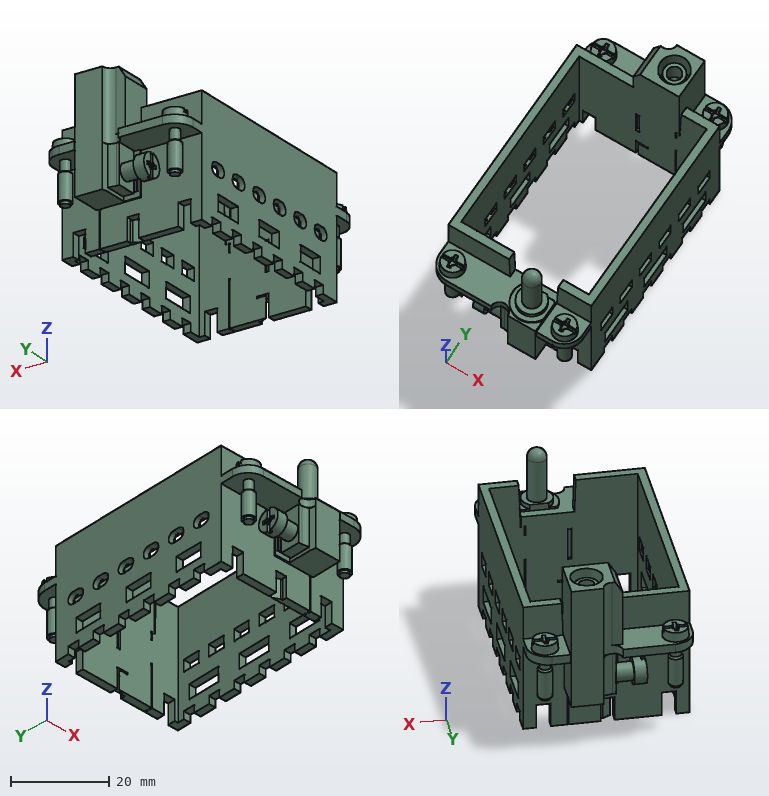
import cadquery as cq

WIDTH = 34.4
LENGTH = 64.0
HEIGHT = 36.4
FRAME_LENGTH = 48.5
FRAME_HEIGHT = 29.0
SIDE_WALL = 1.85
END_WALL = 2.0

FLANGE_TOP = 21.45
FLANGE_THICKNESS = 2.0
FLANGE_CORNER_RADIUS = 4.5
NOTCH_RADIUS = 2.0

BLOCK_LEFT = -2.3
BLOCK_RIGHT = 8.7
BLOCK_BOTTOM = 8.9
BLOCK_FACE_X = 2.0
BLOCK_FACE_DRAFT = 0.25
CAGE_LEFT = -0.9
CAGE_FLAT = 0.8
CAGE_BOTTOM = 9.85
CAGE_BACK = 24.95
CAGE_FRONT = 30.0
BLOCK_FOOT_Y = 30.4
PAD_THICKNESS = 0.4
CLAMP_POCKET_LEFT = -1.7
CLAMP_POCKET_BOTTOM = 10.3
OUTER_POCKET_TOP = 18.05
INNER_POCKET_TOP = 17.4
GROOVE_DEPTH = 0.65

OPENING_RIGHT = 8.95
OPENING_FLARE = 0.25
SLIT_WIDTH = 0.2
SLIT_BOTTOM = 19.1
SEAM_LEFT = 7.8
SEAM_WIDTH = 0.25
INNER_SEAM_TOP = 11.15
UPPER_SEAM_BOTTOM = 17.0

HOLE_COUNT = 6
HOLE_PITCH = 7.35
HOLE_LENGTH = 4.35
HOLE_HEIGHT = 3.0
HOLE_Z = 13.4
OBLONG_DEPTH = 1.4
WINDOW_COUNT = 3
WINDOW_PITCH = 2 * HOLE_PITCH
LEFT_WINDOW_LENGTH = 7.1
RIGHT_WINDOW_LENGTH = 8.6
WINDOW_BOTTOM = 4.15
WINDOW_TOP = 7.95
NOTCH_ROW_Y = 0.65
BASE_NOTCH_LENGTH = 3.0
BASE_NOTCH_HEIGHT = 2.0

END_SLOT_HEIGHT = 5.4
FRONT_SLOT_NEAR = 10.95
FRONT_SLOT_FAR = 13.95
REAR_SLOT_NEAR = 11.45
REAR_SLOT_FAR = 14.45
MIDDLE_SLOT_LEFT = -1.7
MIDDLE_SLOT_RIGHT = 1.15
WEDGE_LEFT = -1.15
WEDGE_CREST = 0.6
WEDGE_HEIGHT = 5.0
WEDGE_DEPTH = 0.9

PIN_X = 4.6
PIN_Y = 26.95
PIN_RADIUS = 2.05
PIN_TOP = 34.5
DISC_RADIUS = 4.55
DISC_HEIGHT = 0.45
COLLAR_RADIUS = 3.3
COLLAR_HEIGHT = 1.0
TOWER_CHAMFER_WIDTH = 1.6
TOWER_CHAMFER_HEIGHT = 2.55
SOCKET_RADIUS = 3.3
SOCKET_DEPTH = 6.4
TUBE_OUTER_RADIUS = 2.4
TUBE_INNER_RADIUS = 1.6
TUBE_RECESS = 1.65
TUBE_CONE_HEIGHT = 0.95

SCREW_X = 13.5
SCREW_Y = 28.5
HEAD_BASE_RADIUS = 2.75
HEAD_TOP_RADIUS = 2.55
HEAD_HEIGHT = 2.05
NECK_RADIUS = 1.15
NECK_BOTTOM = 16.9
THREAD_RADIUS = 1.55
THREAD_TOP = 16.5
THREAD_BOTTOM = 10.2
TIP_RADIUS = 1.1
TIP_BOTTOM = 9.55
RECESS_DEPTH = 0.8
SLOT_WIDTH = 0.8
CROSS_WIDTH = 0.7
CROSS_LENGTH = 3.2
CROSS_DEPTH = 1.3
CROSS_FLOOR = 1.3

CLAMP_SCREW_Y = 27.8
CLAMP_SCREW_Z = 13.5
CLAMP_SHANK_RADIUS = 2.0
CLAMP_HEAD_RADIUS = 2.8
CLAMP_HEAD_LEFT = -7.3
CLAMP_HEAD_RIGHT = -4.7

HALF_WIDTH = WIDTH / 2
HALF_LENGTH = LENGTH / 2
WALL_OUTER_Y = FRAME_LENGTH / 2
WALL_INNER_Y = WALL_OUTER_Y - END_WALL
WALL_MIDDLE_Y = WALL_OUTER_Y - END_WALL / 2
PAD_Y = WALL_OUTER_Y + PAD_THICKNESS
FLANGE_BOTTOM = FLANGE_TOP - FLANGE_THICKNESS
SLIT_RIGHT = BLOCK_RIGHT + SLIT_WIDTH
DISC_TOP = FLANGE_TOP + DISC_HEIGHT
COLLAR_TOP = DISC_TOP + COLLAR_HEIGHT


def block(x0, x1, y0, y1, z0, z1):
    """Axis-aligned box given by its limits."""
    return cq.Workplane("XY").box(x1 - x0, y1 - y0, z1 - z0, centered=False).translate((x0, y0, z0))


def cylinder(x, y, z0, z1, radius):
    return cq.Workplane("XY").circle(radius).extrude(z1 - z0).translate((x, y, z0))


def prism(points, z0, z1):
    """Upright prism over a closed XY outline."""
    return cq.Workplane("XY").polyline(points).close().extrude(z1 - z0).translate((0, 0, z0))


def flip_y(body):
    return body.mirror("XZ")


def centred_row(count, pitch, middle=0.0):
    return [middle + (i - (count - 1) / 2) * pitch for i in range(count)]


def frame():
    outer = block(-HALF_WIDTH, HALF_WIDTH, -WALL_OUTER_Y, WALL_OUTER_Y, 0, FRAME_HEIGHT)
    inner_x = HALF_WIDTH - SIDE_WALL
    return outer.cut(block(-inner_x, inner_x, -WALL_INNER_Y, WALL_INNER_Y, 0, FRAME_HEIGHT))


def side_wall_cuts():
    """Hole row, window row and base notches of both side walls."""
    spots = [(y, HOLE_Z) for y in centred_row(HOLE_COUNT, HOLE_PITCH)]
    left_face = cq.Workplane("YZ", origin=(-HALF_WIDTH, 0, 0)).pushPoints(spots)
    left_pocket = cq.Workplane("YZ", origin=(-HALF_WIDTH + OBLONG_DEPTH, 0, 0)).pushPoints(spots)
    right_face = cq.Workplane("YZ", origin=(HALF_WIDTH, 0, 0)).pushPoints(spots)
    cuts = left_face.slot2D(HOLE_LENGTH, HOLE_HEIGHT).extrude(OBLONG_DEPTH)
    cuts = cuts.union(left_pocket.rect(HOLE_LENGTH, HOLE_HEIGHT).extrude(SIDE_WALL - OBLONG_DEPTH))
    cuts = cuts.union(right_face.rect(HOLE_LENGTH, HOLE_HEIGHT).extrude(-SIDE_WALL))
    for y in centred_row(WINDOW_COUNT, WINDOW_PITCH):
        for x0, length in ((-HALF_WIDTH, LEFT_WINDOW_LENGTH), (0, RIGHT_WINDOW_LENGTH)):
            half = length / 2
            window = block(x0, x0 + HALF_WIDTH, y - half, y + half, WINDOW_BOTTOM, WINDOW_TOP)
            cuts = cuts.union(window)
    for y in centred_row(HOLE_COUNT, HOLE_PITCH, NOTCH_ROW_Y):
        half = BASE_NOTCH_LENGTH / 2
        cuts = cuts.union(block(-HALF_WIDTH, HALF_WIDTH, y - half, y + half, 0, BASE_NOTCH_HEIGHT))
    return cuts


def end_slots(near, far):
    """Base slots through the rear (+Y) end wall: one at each side and one in the middle."""
    limits = [(-far, -near), (near, far), (MIDDLE_SLOT_LEFT, MIDDLE_SLOT_RIGHT)]
    slots = cq.Workplane("XY")
    for x0, x1 in limits:
        slots = slots.union(block(x0, x1, WALL_INNER_Y, WALL_OUTER_Y, 0, END_SLOT_HEIGHT))
    wedge = prism(
        [
            (WEDGE_LEFT, WALL_INNER_Y),
            (WEDGE_CREST, WALL_INNER_Y + WEDGE_DEPTH),
            (MIDDLE_SLOT_RIGHT, WALL_INNER_Y + WEDGE_DEPTH),
            (MIDDLE_SLOT_RIGHT, WALL_INNER_Y),
        ],
        0,
        WEDGE_HEIGHT,
    )
    return slots.cut(wedge)


def wall_opening(left_flare):
    """Opening of the rear end wall above the flange, flaring slightly towards the top."""
    outline = [
        (BLOCK_LEFT, FLANGE_TOP),
        (OPENING_RIGHT, FLANGE_TOP),
        (OPENING_RIGHT + OPENING_FLARE, FRAME_HEIGHT),
        (BLOCK_LEFT - left_flare, FRAME_HEIGHT),
    ]
    face = cq.Workplane("XZ", origin=(0, WALL_OUTER_Y, 0))
    return face.polyline(outline).close().extrude(END_WALL)


def flange():
    """Rear flange with rounded outer corners."""
    plate = block(-HALF_WIDTH, HALF_WIDTH, WALL_MIDDLE_Y, HALF_LENGTH, FLANGE_BOTTOM, FLANGE_TOP)
    return plate.edges("|Z and >Y").fillet(FLANGE_CORNER_RADIUS)


def contact_block():
    """Rear contact block: solid body, clamp cage beside it and a thin pad on the wall."""
    foot_x = BLOCK_FACE_X - BLOCK_FACE_DRAFT
    body = prism(
        [
            (foot_x, WALL_MIDDLE_Y),
            (foot_x, BLOCK_FOOT_Y),
            (BLOCK_FACE_X, HALF_LENGTH),
            (BLOCK_RIGHT, HALF_LENGTH),
            (BLOCK_RIGHT, WALL_MIDDLE_Y),
        ],
        BLOCK_BOTTOM,
        FLANGE_BOTTOM,
    )
    cage = prism(
        [
            (CAGE_LEFT, CAGE_BACK),
            (CAGE_LEFT, CAGE_FRONT),
            (CAGE_LEFT + CAGE_FLAT, CAGE_FRONT),
            (foot_x, BLOCK_FOOT_Y),
            (foot_x, CAGE_BACK),
        ],
        CAGE_BOTTOM,
        FLANGE_BOTTOM,
    )
    pad = block(BLOCK_LEFT, foot_x, WALL_MIDDLE_Y, PAD_Y, BLOCK_BOTTOM, FLANGE_BOTTOM)
    return body.union(cage).union(pad)


def clamp_pockets():
    """Shallow pockets beside the clamp, on the outer and inner faces of the rear wall."""
    x0 = CLAMP_POCKET_LEFT
    inner_y = WALL_INNER_Y + GROOVE_DEPTH
    outer = block(x0, CAGE_LEFT, PAD_Y - GROOVE_DEPTH, PAD_Y, CLAMP_POCKET_BOTTOM, OUTER_POCKET_TOP)
    inner = block(x0, CAGE_LEFT, WALL_INNER_Y, inner_y, CLAMP_POCKET_BOTTOM, INNER_POCKET_TOP)
    return outer.union(inner)


def seams():
    """Slit beside the rear block and the narrow grooves continuing it down both wall faces."""
    slit = block(BLOCK_RIGHT, SLIT_RIGHT, WALL_INNER_Y, HALF_LENGTH, SLIT_BOTTOM, FLANGE_TOP)
    x1 = SEAM_LEFT + SEAM_WIDTH
    inner_y = WALL_INNER_Y + GROOVE_DEPTH
    outer = block(SEAM_LEFT, x1, WALL_OUTER_Y - GROOVE_DEPTH, WALL_OUTER_Y, 0, BLOCK_BOTTOM)
    inner = block(SEAM_LEFT, x1, WALL_INNER_Y, inner_y, 0, INNER_SEAM_TOP)
    upper = block(SEAM_LEFT, x1, WALL_INNER_Y, inner_y, UPPER_SEAM_BOTTOM, SLIT_BOTTOM)
    return slit.union(outer).union(inner).union(upper)


def tower():
    """Rear tower with a sloped shoulder on its -X side."""
    step_y = HALF_LENGTH - NOTCH_RADIUS
    body = block(BLOCK_LEFT, BLOCK_RIGHT, WALL_INNER_Y, step_y, FLANGE_BOTTOM, HEIGHT)
    body = body.union(block(0, BLOCK_RIGHT, WALL_INNER_Y, HALF_LENGTH, FLANGE_BOTTOM, HEIGHT))
    shoulder = [
        (BLOCK_LEFT, HEIGHT),
        (BLOCK_LEFT + TOWER_CHAMFER_WIDTH, HEIGHT),
        (BLOCK_LEFT, HEIGHT - TOWER_CHAMFER_HEIGHT),
    ]
    face = cq.Workplane("XZ", origin=(0, HALF_LENGTH, 0))
    return body.cut(face.polyline(shoulder).close().extrude(HALF_LENGTH - WALL_INNER_Y))


def socket_cut():
    """Tower hole that leaves a central contact tube with a conical bore bottom."""
    floor = HEIGHT - SOCKET_DEPTH
    hole = cylinder(PIN_X, PIN_Y, floor, HEIGHT, SOCKET_RADIUS)
    hole = hole.cut(cylinder(PIN_X, PIN_Y, floor, HEIGHT - TUBE_RECESS, TUBE_OUTER_RADIUS))
    bore = [
        (0, floor - TUBE_CONE_HEIGHT),
        (TUBE_INNER_RADIUS, floor),
        (TUBE_INNER_RADIUS, HEIGHT),
        (0, HEIGHT),
    ]
    bore = cq.Workplane("XZ").polyline(bore).close().revolve(360, (0, 0), (0, 1))
    return hole.union(bore.translate((PIN_X, PIN_Y, 0)))


def guide_pin():
    """Front guide pin with a round tip, on a collar and disc trimmed by the wall and block."""
    shoulder_z = PIN_TOP - PIN_RADIUS
    base = cylinder(PIN_X, -PIN_Y, FLANGE_BOTTOM, DISC_TOP, DISC_RADIUS)
    base = base.union(cylinder(PIN_X, -PIN_Y, DISC_TOP, COLLAR_TOP, COLLAR_RADIUS))
    seat = block(BLOCK_LEFT, BLOCK_RIGHT, -HALF_LENGTH, -WALL_OUTER_Y, FLANGE_TOP, COLLAR_TOP)
    pin = cylinder(PIN_X, -PIN_Y, FLANGE_TOP, shoulder_z, PIN_RADIUS)
    tip = cq.Workplane("XY").sphere(PIN_RADIUS).translate((PIN_X, -PIN_Y, shoulder_z))
    return base.intersect(seat).union(pin).union(tip)


def drive_recess():
    """Slot along X combined with a wedge-ended cross slot along Y, sunk below Z = 0."""
    half_slot = SLOT_WIDTH / 2
    half_length = CROSS_LENGTH / 2
    half_floor = CROSS_FLOOR / 2
    reach = CLAMP_HEAD_RADIUS
    slot = block(-reach, reach, -half_slot, half_slot, -RECESS_DEPTH, 0)
    cross = [
        (-half_length, 0),
        (half_length, 0),
        (half_floor, -CROSS_DEPTH),
        (-half_floor, -CROSS_DEPTH),
    ]
    cross = cq.Workplane("YZ").polyline(cross).close().extrude(CROSS_WIDTH / 2, both=True)
    centre = cq.Workplane("XY").rect(CROSS_FLOOR, CROSS_FLOOR).extrude(-CROSS_DEPTH)
    return slot.union(cross).union(centre)


def mounting_screw():
    """Captive flange screw, revolved about the Z axis."""
    head_top = FLANGE_TOP + HEAD_HEIGHT
    profile = [
        (0, head_top),
        (HEAD_TOP_RADIUS, head_top),
        (HEAD_BASE_RADIUS, FLANGE_TOP),
        (NECK_RADIUS, FLANGE_TOP),
        (NECK_RADIUS, NECK_BOTTOM),
        (THREAD_RADIUS, THREAD_TOP),
        (THREAD_RADIUS, THREAD_BOTTOM),
        (TIP_RADIUS, THREAD_BOTTOM),
        (TIP_RADIUS, TIP_BOTTOM),
        (0, TIP_BOTTOM),
    ]
    screw = cq.Workplane("XZ").polyline(profile).close().revolve(360, (0, 0), (0, 1))
    return screw.cut(drive_recess().translate((0, 0, head_top)))


def clamp_screw(y):
    """Terminal screw along X with its head towards -X."""
    plane = cq.Workplane("YZ", origin=(CLAMP_HEAD_LEFT, y, CLAMP_SCREW_Z))
    screw = plane.circle(CLAMP_SHANK_RADIUS).extrude(CAGE_LEFT - CLAMP_HEAD_LEFT)
    head = cq.Workplane(plane.plane).circle(CLAMP_HEAD_RADIUS).extrude(CLAMP_HEAD_RIGHT - CLAMP_HEAD_LEFT)
    screw = screw.union(head)
    recess = drive_recess().rotate((0, 0, 0), (0, 1, 0), -90)
    return screw.cut(recess.translate((CLAMP_HEAD_LEFT, y, CLAMP_SCREW_Z)))


part = frame().cut(side_wall_cuts())
part = part.cut(end_slots(REAR_SLOT_NEAR, REAR_SLOT_FAR))
part = part.cut(flip_y(end_slots(FRONT_SLOT_NEAR, FRONT_SLOT_FAR)))
part = part.cut(wall_opening(0))
part = part.cut(flip_y(wall_opening(OPENING_FLARE)))

end_body = flange().union(contact_block())
part = part.union(end_body).union(flip_y(end_body)).union(tower())

edge_notch = cylinder(0, HALF_LENGTH, FLANGE_BOTTOM, HEIGHT, NOTCH_RADIUS)
end_cuts = edge_notch.union(clamp_pockets()).union(seams())
part = part.cut(end_cuts).cut(flip_y(end_cuts)).cut(socket_cut())

part = part.union(guide_pin())
for y in (-SCREW_Y, SCREW_Y):
    for x in (-SCREW_X, SCREW_X):
        part = part.union(mounting_screw().translate((x, y, 0)))
for y in (-CLAMP_SCREW_Y, CLAMP_SCREW_Y):
    part = part.union(clamp_screw(y))

result = part